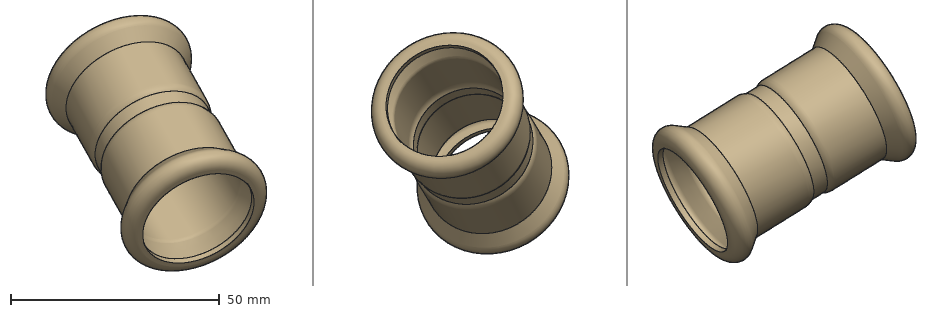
import cadquery as cq
import math

length = 54.0
half_length = length / 2

body_radius = 31.3 / 2
socket_radius = 28.2 / 2
waist_radius = 30.0 / 2
stop_radius = 27.0 / 2
mouth_radius = 28.8 / 2
wall = body_radius - socket_radius

waist_half_width = 2.0
waist_blend_width = 2.0
shoulder_x = waist_half_width + waist_blend_width

bead_radius = 3.0
bead_center_x = half_length - bead_radius
bead_crown_radius = body_radius + bead_radius
groove_radius = bead_radius - wall
groove_crown_radius = body_radius + groove_radius
groove_wall_x = bead_center_x + groove_radius

cone_reach = 5.0
cone_foot_x = bead_center_x - cone_reach
cone_angle = math.asin(bead_radius / cone_reach)
normal_x = -math.sin(cone_angle)
normal_r = math.cos(cone_angle)
bead_tangent = (bead_center_x + bead_radius * normal_x, body_radius + bead_radius * normal_r)
groove_tangent = (bead_center_x + groove_radius * normal_x, body_radius + groove_radius * normal_r)

bend_start = (cone_foot_x - wall * normal_x, body_radius - wall * normal_r)
bend_mid_angle = cone_angle / 2
bend_mid = (
    cone_foot_x + wall * math.sin(bend_mid_angle),
    body_radius - wall * math.cos(bend_mid_angle),
)


def blend_radius(step):
    """Radius of an arc that is level at the shoulder and drops by step across the blend."""
    return (waist_blend_width**2 + step**2) / (2 * step)


def make_socket():
    """Socket on the +X side, from the edge of the waist to the mouth."""
    outer_blend = blend_radius(body_radius - waist_radius)
    inner_blend = blend_radius(socket_radius - stop_radius)
    profile = (
        cq.Workplane("XY")
        .moveTo(waist_half_width, stop_radius)
        .lineTo(waist_half_width, waist_radius)
        .radiusArc((shoulder_x, body_radius), outer_blend)
        .lineTo(cone_foot_x, body_radius)
        .lineTo(*bead_tangent)
        .threePointArc((bead_center_x, bead_crown_radius), (half_length, body_radius))
        .lineTo(half_length, mouth_radius)
        .lineTo(groove_wall_x, mouth_radius)
        .lineTo(groove_wall_x, body_radius)
        .threePointArc((bead_center_x, groove_crown_radius), groove_tangent)
        .lineTo(*bend_start)
        .threePointArc(bend_mid, (cone_foot_x, socket_radius))
        .lineTo(shoulder_x, socket_radius)
        .radiusArc((waist_half_width, stop_radius), -inner_blend)
        .close()
    )
    return profile.revolve(360, (0, 0, 0), (1, 0, 0))


def make_waist():
    """Straight central band whose smaller bore stops the inserted pipes."""
    return (
        cq.Workplane("YZ", origin=(-waist_half_width, 0, 0))
        .circle(waist_radius)
        .circle(stop_radius)
        .extrude(2 * waist_half_width)
    )


socket = make_socket()
result = make_waist().union(socket).union(socket.mirror("YZ"))